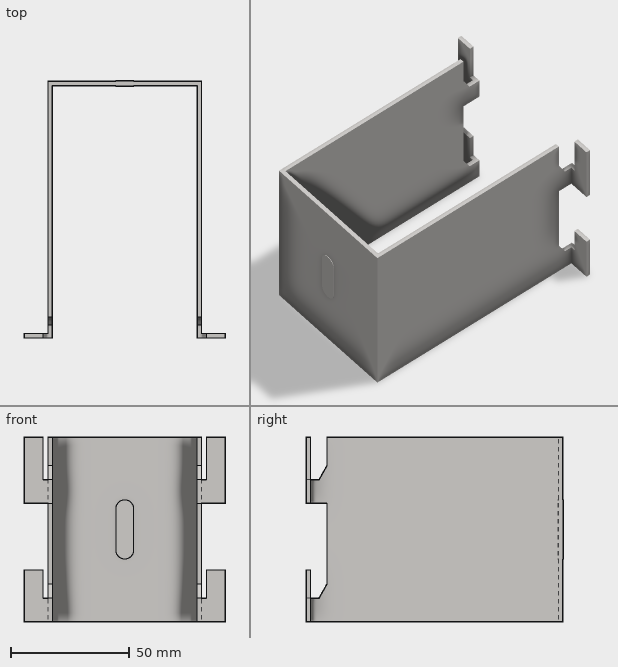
import cadquery as cq

overall_width = 85.0
overall_depth = 108.7
height = 78.0
body_width = 65.0
wall = 2.0

wall_front_setback = 8.8
ramp_depth = 3.4
ramp_height = 6.0
foot_height = 10.0
hook_arm_width = 8.0
lower_hook_top = 22.0
upper_hook_bottom = 50.0

pad_width = 7.5
pad_length = 25.0
pad_height = 0.2

half_body = body_width / 2
back_face = overall_depth - pad_height
hooks = [(0, lower_hook_top), (upper_hook_bottom, height)]


def box(x_range, y_range, z_range):
    """Box spanning the given (low, high) ranges."""
    spans = [high - low for low, high in (x_range, y_range, z_range)]
    corner = (x_range[0], y_range[0], z_range[0])
    return cq.Workplane("XY").box(*spans, centered=False).translate(corner)


def hook(bottom, top):
    """Right-hand hook: wall lug with a ramp, and an outward L-shaped flange."""
    foot_top = bottom + foot_height
    lug = (
        cq.Workplane("YZ", origin=(half_body - wall, 0, 0))
        .moveTo(0, bottom)
        .lineTo(wall_front_setback, bottom)
        .lineTo(wall_front_setback, foot_top + ramp_height)
        .lineTo(wall_front_setback - ramp_depth, foot_top)
        .lineTo(0, foot_top)
        .close()
        .extrude(wall)
    )
    outer = overall_width / 2
    foot = box((half_body - wall, outer), (0, wall), (bottom, foot_top))
    arm = box((outer - hook_arm_width, outer), (0, wall), (bottom, top))
    return lug.union(foot).union(arm)


body = box((-half_body, half_body), (back_face - wall, back_face), (0, height))
side = box((half_body - wall, half_body), (wall_front_setback, back_face), (0, height))
for bottom, top in hooks:
    side = side.union(hook(bottom, top))

pad = (
    cq.Workplane("XZ", origin=(0, overall_depth, height / 2))
    .slot2D(pad_length, pad_width, 90)
    .extrude(wall + 2 * pad_height)
)

result = body.union(side).union(side.mirror("YZ")).union(pad)